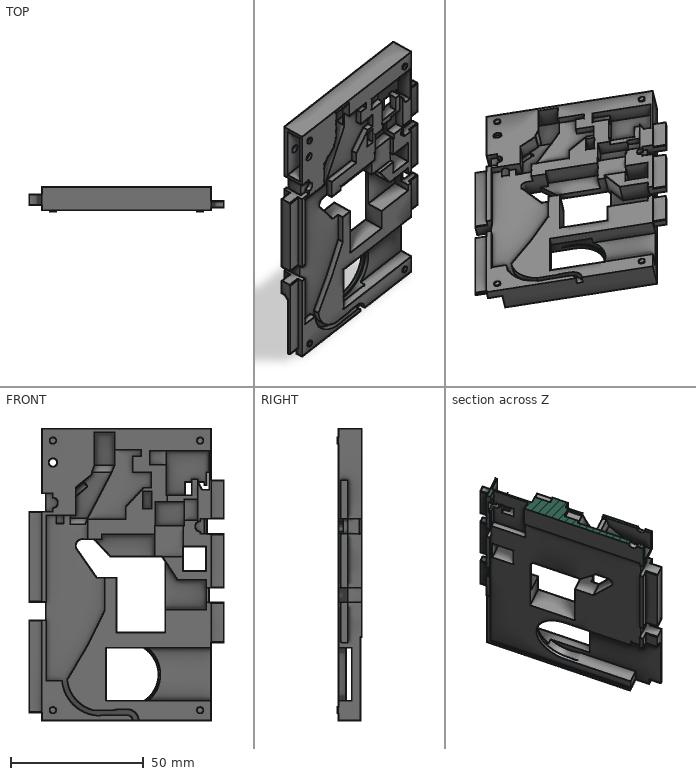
import cadquery as cq

WIDTH = 63.8
HEIGHT = 110.0
TOTAL_DEPTH = 9.3
PIN_HEIGHT = 0.4
THICKNESS = TOTAL_DEPTH - PIN_HEIGHT

STEP_DEPTH = 1.4
PANEL_DEPTH = 2.3
LEDGE_DEPTH = 3.5
DEEP_DEPTH = 5.1
FLOOR_DEPTH = 5.8
WELL_DEPTH = 6.6

STRIP_WIDTH = 1.8

SCALLOP_DEPTH = 1.9
SCALLOP_RADIUS = 2.0
NOTCH_DEPTH = 1.4
UPPER_LEFT_NOTCH = (78.7, 85.6)
LOWER_LEFT_NOTCH = (37.8, 44.7)
UPPER_RIGHT_NOTCH = (70.4, 76.0)
LOWER_RIGHT_NOTCH = (44.5, 50.0)

RAIL_REACH = 4.7
RAIL_CHAMFER = 0.27
LEFT_RAIL_FRONT = 1.9
LEFT_RAIL_BACK = 6.2
RIGHT_RAIL_FRONT = 1.0
RIGHT_RAIL_BACK = 3.6
LEFT_RAILS = [(LOWER_LEFT_NOTCH[1], UPPER_LEFT_NOTCH[0]), (3.1, LOWER_LEFT_NOTCH[0])]
RIGHT_RAILS = [
    (UPPER_RIGHT_NOTCH[1], 90.6),
    (LOWER_RIGHT_NOTCH[1], UPPER_RIGHT_NOTCH[0]),
    (29.4, LOWER_RIGHT_NOTCH[0]),
]

PIN_DIAMETER = 2.4
PIN_INSET = 4.2
PIN_LEVELS = (4.0, 105.5)
HOLE_DIAMETER = 3.1
HOLE_LEVEL = 97.2

CHAMBER_FRONT = 1.1
CHAMBER_BACK = 7.0
CHAMBER_FLOOR = 87.0
CHAMBER_TOP = 108.5

CHANNEL_LEFT = 19.8
CHANNEL_RIGHT = 27.4
RAMP_TOP = 96.1
RAMP_BOTTOM = 93.5

PANEL_BORE_RADIUS = 1.4
CHANNEL_BORE_RADIUS = 1.2

WINDOW_X = WIDTH / 2
WINDOW_Z = 17.4
WINDOW_RADIUS = 12.8
LIP_RADIUS = 12.0
LIP_FRONT = 6.6

RELIEF_FRONT = 3.0
RELIEF_WIDTH = 5.5
RELIEF_TOP = 31.5
RELIEF_CHAMFER = 1.6
BACK_STEP = 0.4

BACK_RECESS = 7.9
BACK_RIM = 1.4
WEB_BACK = 5.8
POST_BACK = 4.3
POST_SLOT_LEVELS = (84.9, 89.9)


def box(x, y, z):
    """Box spanning the given (low, high) pairs."""
    size = [high - low for low, high in (x, y, z)]
    return cq.Workplane("XY").box(*size, centered=False).translate((x[0], y[0], z[0]))


def prism(points, back, front=0.0):
    """Outline in X and Z, carried from depth front to depth back."""
    return cq.Workplane("XZ", origin=(0, front, 0)).polyline(points).close().extrude(front - back)


def disc(x, z, radius, back, front=0.0):
    """Round bar along Y."""
    return cq.Workplane("XZ", origin=(x, front, z)).circle(radius).extrude(front - back)


def profile_prism(points, left, right):
    """Outline in Y and Z, carried along X."""
    return cq.Workplane("YZ", origin=(left, 0, 0)).polyline(points).close().extrude(right - left)


def ramp(outline, profile, depth):
    """Pocket with a sloping floor: an X-Z outline limited by a Y-Z profile."""
    return prism(outline, depth).intersect(profile_prism(profile, 0, WIDTH))


def slanted_bore(start, end, radius):
    """Round bore between two points."""
    axis = cq.Vector(*end) - cq.Vector(*start)
    return cq.Workplane(cq.Solid.makeCylinder(radius, axis.Length, cq.Vector(*start), axis))


def rail(x, y, z):
    """Side rail with chamfers on its edges along X."""
    return box(x, y, z).edges("|X").chamfer(RAIL_CHAMFER)


body = box((0, WIDTH), (0, THICKNESS), (0, HEIGHT))
for span in LEFT_RAILS:
    left_rail = rail((-RAIL_REACH, 0), (LEFT_RAIL_FRONT, LEFT_RAIL_BACK), span)
    body = body.union(left_rail)
for span in RIGHT_RAILS:
    right_rail = rail((WIDTH, WIDTH + RAIL_REACH), (RIGHT_RAIL_FRONT, RIGHT_RAIL_BACK), span)
    body = body.union(right_rail)

chamber_outline = [
    (0, CHAMBER_FLOOR), (9.9, CHAMBER_FLOOR), (17.0, 92.7), (18.1, RAMP_TOP),
    (CHANNEL_LEFT, RAMP_TOP), (CHANNEL_LEFT, CHAMBER_TOP), (0, CHAMBER_TOP),
]
body = body.cut(prism(chamber_outline, CHAMBER_BACK, CHAMBER_FRONT))

body = body.cut(box((CHANNEL_LEFT, CHANNEL_RIGHT), (0, CHAMBER_BACK), (RAMP_TOP, CHAMBER_TOP)))
body = body.cut(box((CHANNEL_RIGHT, 33.0), (3.0, LEFT_RAIL_BACK), (RAMP_TOP, 104.5)))

upper_ramp_outline = [
    (CHANNEL_LEFT, RAMP_TOP), (CHANNEL_RIGHT, RAMP_TOP), (26.3, RAMP_BOTTOM), (18.8, RAMP_BOTTOM),
]
upper_ramp_profile = [(0, RAMP_TOP), (CHAMBER_BACK, RAMP_TOP), (DEEP_DEPTH, RAMP_BOTTOM), (0, RAMP_BOTTOM)]
body = body.cut(ramp(upper_ramp_outline, upper_ramp_profile, CHAMBER_BACK))

slanted_channel = [
    (18.8, RAMP_BOTTOM), (18.8, 92.7), (12.9, 87.9),
    (12.9, 76.2), (17.3, 76.2), (26.3, RAMP_BOTTOM),
]
body = body.cut(prism(slanted_channel, DEEP_DEPTH))

lower_ramp_outline = [(10.8, 77.3), (12.9, 77.3), (17.3, 76.2), (16.4, 74.0), (10.8, 74.0)]
lower_ramp_profile = [(0, 77.3), (DEEP_DEPTH, 77.3), (DEEP_DEPTH, 76.2), (PANEL_DEPTH, 74.0), (0, 74.0)]
body = body.cut(ramp(lower_ramp_outline, lower_ramp_profile, DEEP_DEPTH))

body = body.cut(slanted_bore((6.8, 2.1, 74.3), (6.8, 4.0, CHAMBER_FLOOR + 1.1), PANEL_BORE_RADIUS))
body = body.cut(slanted_bore((16.4, DEEP_DEPTH, 89.1), (9.9, FLOOR_DEPTH, 83.5), CHANNEL_BORE_RADIUS))

left_panel = [
    (STRIP_WIDTH, 77.3), (17.3, 77.3), (17.3, 68.3), (23.8, 53.9), (23.8, 41.6),
    (17.4, 28.6), (9.6, 15.4), (7.6, 15.1), (STRIP_WIDTH, 15.1),
]
upper_pocket = [
    (CHANNEL_RIGHT, 102.1), (37.4, 102.1), (37.4, 99.5), (34.2, 99.5), (34.2, 93.5), (41.1, 93.5),
    (41.1, 87.8), (38.4, 87.8), (31.7, 80.6), (31.7, 75.9), (17.3, 75.9),
    (17.0, 76.2), (25.8, RAMP_BOTTOM), (CHANNEL_RIGHT, RAMP_TOP),
]
bridge_pocket = [(22.7, 70.2), (42.5, 70.2), (42.5, 61.8), (25.8, 61.8), (19.7, 68.3), (22.7, 68.3)]
corner_pocket = [
    (46.9, 101.7), (63.0, 101.7), (63.0, 87.0), (60.4, 87.0), (58.7, 90.2),
    (58.7, 91.0), (56.4, 91.0), (56.4, 84.9), (46.9, 84.9),
]
post_step = [
    (47.2, 84.9), (56.4, 84.9), (56.4, 91.0), (58.7, 91.0),
    (58.7, 83.4), (53.7, 83.4), (53.7, 82.4), (47.2, 82.4),
]
well_pocket = [(46.4, 60.2), (51.1, 53.0), (61.9, 53.0), (61.9, 41.8), (46.4, 41.8)]
for outline, depth in [
    (left_panel, PANEL_DEPTH),
    (upper_pocket, PANEL_DEPTH),
    (bridge_pocket, FLOOR_DEPTH),
    (corner_pocket, DEEP_DEPTH),
    (post_step, STEP_DEPTH),
    (well_pocket, WELL_DEPTH),
]:
    body = body.cut(prism(outline, depth))

for x_span, z_span, depth in [
    ((40.6, 46.9), (96.3, 101.7), PANEL_DEPTH),
    ((38.0, 41.4), (79.7, 86.3), DEEP_DEPTH),
    ((42.8, 53.7), (73.4, 82.4), DEEP_DEPTH),
    ((42.5, 53.2), (61.8, 73.4), STEP_DEPTH),
    ((53.7, 58.7), (75.5, 83.4), LEDGE_DEPTH),
    ((24.2, WIDTH), (7.6, 27.4), DEEP_DEPTH),
]:
    body = body.cut(box(x_span, (0, depth), z_span))

main_opening = (
    cq.Workplane("XZ").moveTo(15.7, 68.3).lineTo(19.7, 68.3).lineTo(25.8, 61.8).lineTo(45.2, 61.8)
    .lineTo(46.4, 60.2).lineTo(46.4, 33.2).lineTo(28.2, 33.2).lineTo(28.2, 53.9).lineTo(20.7, 53.9)
    .lineTo(13.1, 64.8).threePointArc((13.2, 67.2), (15.7, 68.3)).close().extrude(-THICKNESS)
)
corner_slot = [
    (62.0, 93.5), (63.0, 93.5), (63.0, 87.0), (60.4, 87.0),
    (58.8, 89.9), (61.1, 89.9), (61.1, 88.8), (62.0, 88.8),
]
body = body.cut(main_opening).cut(prism(corner_slot, THICKNESS))
body = body.cut(box((54.0, 56.4), (0, THICKNESS), POST_SLOT_LEVELS))
body = body.cut(box((53.2, 61.8), (0, THICKNESS), (56.4, 65.5)))
body = body.cut(disc(PIN_INSET, HOLE_LEVEL, HOLE_DIAMETER / 2, THICKNESS))

body = body.cut(box((BACK_RIM, WIDTH - BACK_RIM), (BACK_RECESS, THICKNESS), (BACK_RIM, CHAMBER_FLOOR)))
web_span = (48.4, 62.1)
web_levels = (77.0, 100.1)
body = body.cut(box(web_span, (WEB_BACK, THICKNESS), web_levels))
post_span = (54.0, 58.7)
body = body.cut(box(post_span, (POST_BACK, THICKNESS), POST_SLOT_LEVELS))

relief_profile = [
    (RELIEF_FRONT, 0), (RELIEF_FRONT, RELIEF_TOP - RELIEF_CHAMFER),
    (RELIEF_FRONT + RELIEF_CHAMFER, RELIEF_TOP), (THICKNESS, RELIEF_TOP), (THICKNESS, 0),
]
body = body.cut(profile_prism(relief_profile, -RAIL_REACH, RELIEF_WIDTH))
body = body.cut(box((0, WIDTH), (THICKNESS - BACK_STEP, THICKNESS), (0, RELIEF_TOP)))
window_span = (WINDOW_Z - LIP_RADIUS, WINDOW_Z + LIP_RADIUS)
body = body.cut(box((0, WINDOW_X), (RELIEF_FRONT, THICKNESS), window_span))
body = body.cut(disc(WINDOW_X, WINDOW_Z, WINDOW_RADIUS, LIP_FRONT, RELIEF_FRONT))
body = body.cut(disc(WINDOW_X, WINDOW_Z, LIP_RADIUS, THICKNESS, RELIEF_FRONT))

groove = (
    cq.Workplane("XZ").moveTo(7.6, 15.1).threePointArc((12.3, 5.6), (21.1, 1.9)).lineTo(23.3, 2.1)
    .lineTo(32.1, 2.1).threePointArc((33.7, 1.4), (34.3, 0)).lineTo(36.5, 0)
    .threePointArc((35.4, 2.9), (32.7, 4.3)).lineTo(28.3, 4.3).lineTo(27.0, 4.0).lineTo(19.4, 4.0)
    .threePointArc((12.9, 7.9), (9.6, 15.4)).close().extrude(-PANEL_DEPTH)
)
body = body.cut(groove)

for x_span, z_span in [
    ((0, NOTCH_DEPTH), UPPER_LEFT_NOTCH),
    ((0, NOTCH_DEPTH), LOWER_LEFT_NOTCH),
    ((62.2, WIDTH), UPPER_RIGHT_NOTCH),
    ((63.0, WIDTH), LOWER_RIGHT_NOTCH),
]:
    body = body.cut(box(x_span, (0, THICKNESS), z_span))
for x_span, z_span, centre in [
    ((0, 4.1), UPPER_LEFT_NOTCH, (4.1, 82.0)),
    ((59.7, WIDTH), UPPER_RIGHT_NOTCH, (59.7, 73.1)),
]:
    body = body.cut(box(x_span, (0, SCALLOP_DEPTH), z_span))
    body = body.cut(disc(*centre, SCALLOP_RADIUS, SCALLOP_DEPTH))
body = body.cut(box((0, STRIP_WIDTH), (0, PANEL_DEPTH), LOWER_LEFT_NOTCH))
body = body.cut(box((61.3, WIDTH), (0, RIGHT_RAIL_BACK), UPPER_RIGHT_NOTCH))
body = body.cut(box((61.9, WIDTH), (0, RIGHT_RAIL_BACK), LOWER_RIGHT_NOTCH))

for pin_x in (PIN_INSET, WIDTH - PIN_INSET):
    for pin_z in PIN_LEVELS:
        body = body.union(disc(pin_x, pin_z, PIN_DIAMETER / 2, PIN_HEIGHT, -PIN_HEIGHT))

result = body